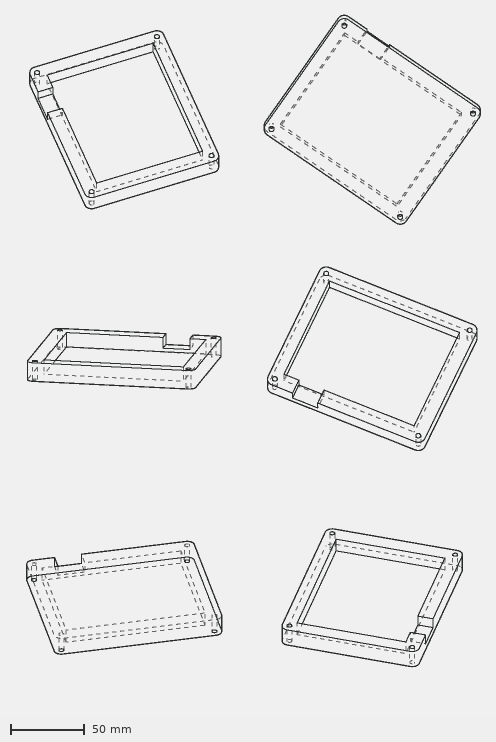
import cadquery as cq

length = 116.0
width = 96.4
height = 13.0
corner_radius = 5.0

side_wall = 9.3
right_wall = 10.5
front_wall = 10.7
back_wall = 9.3
pocket_depth = 10.0

notch_start = 20.3
notch_width = 18.6
notch_depth = 7.5

hole_diameter = 3.4


def box_from_top(x_start, y_start, x_size, y_size, depth):
    """Cutting box that reaches down from the top face."""
    return cq.Workplane("XY").box(x_size, y_size, depth, centered=False).translate(
        (x_start, y_start, height - depth)
    )


tray = cq.Workplane("XY").box(length, width, height, centered=False)
tray = tray.edges("|Z").fillet(corner_radius)

pocket_length = length - side_wall - right_wall
pocket_width = width - front_wall - back_wall
tray = tray.cut(box_from_top(side_wall, front_wall, pocket_length, pocket_width, pocket_depth))

tray = tray.cut(box_from_top(notch_start, 0, notch_width, front_wall, notch_depth))

hole_centers = [
    (x, y)
    for x in (corner_radius, length - corner_radius)
    for y in (corner_radius, width - corner_radius)
]
holes = cq.Workplane("XY").pushPoints(hole_centers).circle(hole_diameter / 2).extrude(height)
tray = tray.cut(holes)

result = tray.translate((-length / 2, -width / 2, -height / 2))